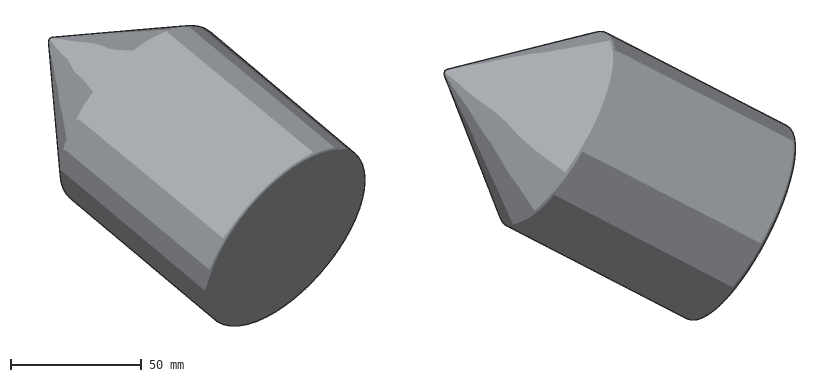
import math

import cadquery as cq

length = 132.6
radius = 83.1 / 2
shoulder_x = 50.0
tip_radius = 1.9
shoulder_rounding = 2.0
rim_rounding = 1.5

ball_to_shoulder = shoulder_x - tip_radius
ball_to_corner = math.hypot(ball_to_shoulder, radius)
half_angle = math.atan2(radius, ball_to_shoulder) - math.asin(tip_radius / ball_to_corner)


def ball_point(angle):
    """Point on the tip ball at an angle measured from the -X direction."""
    return (tip_radius * (1 - math.cos(angle)), tip_radius * math.sin(angle))


tangent_angle = math.pi / 2 - half_angle
body = (
    cq.Workplane("XY")
    .moveTo(0, 0)
    .threePointArc(ball_point(tangent_angle / 2), ball_point(tangent_angle))
    .lineTo(shoulder_x, radius)
    .lineTo(length, radius)
    .lineTo(length, 0)
    .close()
    .revolve(360, (0, 0, 0), (1, 0, 0))
)

body = body.faces(">X").edges().fillet(rim_rounding)
shoulder_reach = 2 * shoulder_rounding
shoulder_edge = cq.selectors.BoxSelector(
    (shoulder_x - shoulder_reach, -length, -length),
    (shoulder_x + shoulder_reach, length, length),
    boundingbox=True,
)
result = body.edges(shoulder_edge).fillet(shoulder_rounding)